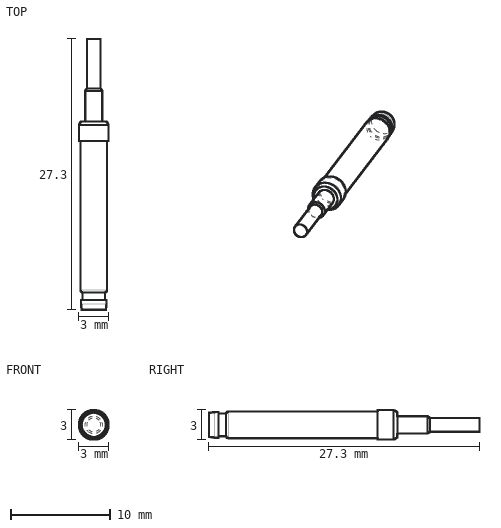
import cadquery as cq


total_length = 27.3
tip_length = 5.0
collar_to_tip_end = 8.3
collar_length = 2.0
foot_length = 1.0
groove_length = 0.75

tip_diameter = 1.4
plunger_diameter = 1.75
collar_diameter = 3.0
barrel_diameter = 2.7
groove_diameter = 2.3
foot_diameter = 2.6
foot_face_diameter = 2.45

plunger_bevel_length = 0.25
collar_round_length = 0.4
collar_round_depth = 0.25
collar_round_radius = 0.8
barrel_round_length = 0.25
foot_taper_length = 0.6

tip_radius = tip_diameter / 2
plunger_radius = plunger_diameter / 2
collar_radius = collar_diameter / 2
barrel_radius = barrel_diameter / 2
groove_radius = groove_diameter / 2
foot_radius = foot_diameter / 2
foot_face_radius = foot_face_diameter / 2

barrel_start = foot_length + groove_length
barrel_round_end = barrel_start + barrel_round_length
barrel_round_depth = barrel_radius - groove_radius
barrel_round_radius = (barrel_round_length**2 + barrel_round_depth**2) / (2 * barrel_round_depth)
collar_end = total_length - collar_to_tip_end
collar_start = collar_end - collar_length
collar_round_start = collar_end - collar_round_length
plunger_end = total_length - tip_length
plunger_bevel_start = plunger_end - plunger_bevel_length


def turned_profile():
    """Half section of the probe in the XY plane, from the foot to the tip."""
    return (
        cq.Workplane("XY")
        .moveTo(0, 0)
        .lineTo(foot_face_radius, 0)
        .lineTo(foot_radius, foot_taper_length)
        .lineTo(foot_radius, foot_length)
        .lineTo(groove_radius, foot_length)
        .lineTo(groove_radius, barrel_start)
        .radiusArc((barrel_radius, barrel_round_end), -barrel_round_radius)
        .lineTo(barrel_radius, collar_start)
        .lineTo(collar_radius, collar_start)
        .lineTo(collar_radius, collar_round_start)
        .radiusArc((collar_radius - collar_round_depth, collar_end), -collar_round_radius)
        .lineTo(plunger_radius, collar_end)
        .lineTo(plunger_radius, plunger_bevel_start)
        .lineTo(tip_radius, plunger_end)
        .lineTo(tip_radius, total_length)
        .lineTo(0, total_length)
        .close()
    )


result = turned_profile().revolve(360, (0, 0, 0), (0, 1, 0))